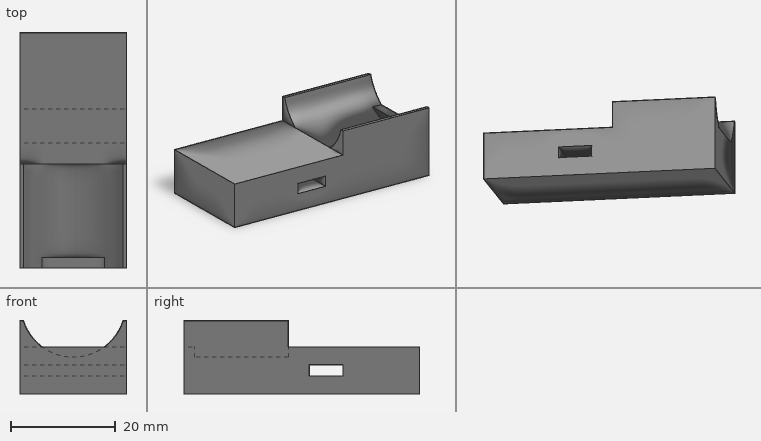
import cadquery as cq

width = 20.32
length = 44.88
height = 14.0

deck_height = 9.0
deck_length = 25.0
cradle_length = length - deck_length

trough_radius = 9.95
trough_axis_height = 17.0
front_lip_thickness = 2.0

slot_length = 6.4
slot_height = 2.1
slot_front = 23.9
slot_bottom = 3.5


def box_from(x_size, y_start, y_size, z_start, z_size):
    """Box centred on X, starting at the given Y and Z."""
    return (
        cq.Workplane("XY")
        .box(x_size, y_size, z_size, centered=(True, False, False))
        .translate((0, y_start, z_start))
    )


def stepped_body():
    """Raised cradle block at the front and a lower deck behind it."""
    cradle = box_from(width, 0, cradle_length, 0, height)
    deck = box_from(width, cradle_length, deck_length, 0, deck_height)
    return cradle.union(deck)


def trough():
    """Round-bottomed cut along the cradle, cut short at the front lip below deck height."""
    cylinder = (
        cq.Workplane("XZ")
        .center(0, trough_axis_height)
        .circle(trough_radius)
        .extrude(-cradle_length)
    )
    front_lip = box_from(width, 0, front_lip_thickness, 0, deck_height)
    return cylinder.cut(front_lip)


def cross_slot():
    """Rectangular passage through both sides of the deck."""
    return box_from(width, slot_front, slot_length, slot_bottom, slot_height)


result = stepped_body().cut(trough()).cut(cross_slot())